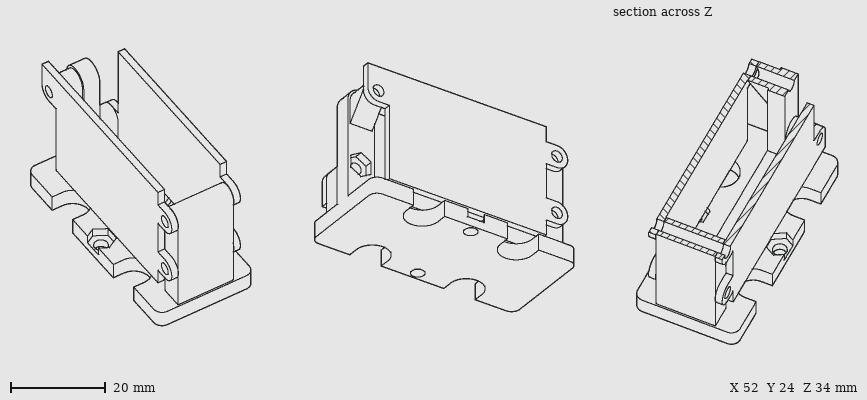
import cadquery as cq

base_length = 52.0
base_width = 24.0
base_height = 4.0
base_corner_radius = 2.1
total_height = 34.0

notch_radius = 4.0
notch_x = 12.0
notch_center_y = 9.4

base_hole_diameter = 3.1
base_hole_y = 10.0
base_nut_diameter = 6.55
base_nut_depth = base_height / 2

screw_diameter = 2.7
post_x = -22.6
column_x = 23.0
post_half_thickness = 2.05
body_half_width = 6.95
column_radius = 2.6
boss_radius = 2.8
post_nut_diameter = 6.0
post_nut_depth = 2.0
wedge_bottom_z = 22.25

plate_thickness = 1.65
plate_bottom = 7.0
plate_right_x = 20.3
ear_radius = 2.75
post_screw_offset = 7.55
column_screw_offset = 7.0

post_radius = base_length / 2 + post_x
rib_top_z = plate_bottom
plate_mid_z = (plate_bottom + total_height) / 2
upper_post_z = plate_mid_z + post_screw_offset
lower_post_z = plate_mid_z - post_screw_offset
column_screw_zs = (plate_mid_z - column_screw_offset, plate_mid_z + column_screw_offset)
plate_left_x = post_x - ear_radius
plate_step_x = post_x + ear_radius


def box(x_min, x_max, y_min, y_max, z_min, z_max):
    """Block between the given limits."""
    return cq.Workplane("XY").box(
        x_max - x_min, y_max - y_min, z_max - z_min, centered=False
    ).translate((x_min, y_min, z_min))


def y_cylinder(x, z, radius, y_min, y_max):
    """Cylinder along Y."""
    return (
        cq.Workplane("XZ", origin=(0, y_min, 0))
        .center(x, z)
        .circle(radius)
        .extrude(y_min - y_max)
    )


def round_topped_upright(x, center_z, radius, y_min, y_max):
    """Upright standing on the base, with a half-round top about the given axis."""
    upright = box(x - radius, x + radius, y_min, y_max, base_height, center_z)
    return upright.union(y_cylinder(x, center_z, radius, y_min, y_max))


def screw_hole(x, z):
    """Screw clearance through the full width of the frame and plates."""
    return y_cylinder(x, z, screw_diameter / 2, -base_width / 2, base_width / 2)


def make_base():
    """Rounded base with four edge notches and two screw holes with nut pockets."""
    base = box(
        -base_length / 2, base_length / 2, -base_width / 2, base_width / 2, 0, base_height
    ).edges("|Z").fillet(base_corner_radius)
    for side in (-1, 1):
        for x in (-notch_x, notch_x):
            round_end = (
                cq.Workplane("XY")
                .center(x, side * notch_center_y)
                .circle(notch_radius)
                .extrude(base_height)
            )
            mouth_ys = sorted((side * notch_center_y, side * base_width / 2))
            mouth = box(x - notch_radius, x + notch_radius, *mouth_ys, 0, base_height)
            base = base.cut(round_end).cut(mouth)

        hole_center = cq.Workplane("XY").center(0, side * base_hole_y)
        hole = hole_center.circle(base_hole_diameter / 2).extrude(base_height)
        nut_pocket = (
            hole_center.workplane(offset=base_height)
            .polygon(6, base_nut_diameter)
            .extrude(-base_nut_depth)
        )
        base = base.cut(hole).cut(nut_pocket)
    return base


def make_upper_boss():
    """Sleeve on the front of the post, carried by a sloping wedge."""
    sleeve = y_cylinder(post_x, upper_post_z, boss_radius, -body_half_width, -post_half_thickness)
    wedge = (
        cq.Workplane("YZ", origin=(post_x - boss_radius, 0, 0))
        .polyline([
            (-post_half_thickness, wedge_bottom_z),
            (-post_half_thickness, upper_post_z),
            (-body_half_width, upper_post_z),
        ])
        .close()
        .extrude(2 * boss_radius)
    )
    upper_half = box(
        post_x - boss_radius, post_x + boss_radius,
        -body_half_width, -post_half_thickness,
        upper_post_z, upper_post_z + boss_radius,
    )
    return wedge.union(sleeve.intersect(upper_half))


def make_post_nut_pocket():
    """Hexagonal recess in the front of the post, round its lower screw."""
    return (
        cq.Workplane("XZ", origin=(0, -post_half_thickness, 0))
        .center(post_x, lower_post_z)
        .transformed(rotate=(0, 0, 90))
        .polygon(6, post_nut_diameter)
        .extrude(-post_nut_depth)
    )


def make_frame():
    """Base with the rib, post, bosses and column standing on it, drilled for the screws."""
    post = round_topped_upright(
        post_x, upper_post_z, post_radius, -post_half_thickness, post_half_thickness
    )
    lower_boss = round_topped_upright(
        post_x, lower_post_z, boss_radius, post_half_thickness, body_half_width
    )
    column = round_topped_upright(
        column_x, column_screw_zs[1], column_radius, -body_half_width, body_half_width
    )
    rib = box(
        post_x, column_x, -post_half_thickness, post_half_thickness, base_height, rib_top_z
    )
    frame = make_base().union(rib).union(post).union(make_upper_boss()).union(lower_boss).union(column)
    for z in (lower_post_z, upper_post_z):
        frame = frame.cut(screw_hole(post_x, z))
    for z in column_screw_zs:
        frame = frame.cut(screw_hole(column_x, z))
    return frame.cut(make_post_nut_pocket())


def make_side_plate():
    """Front plate, with a post ear at the upper left and two column ears at the right."""
    y_min = -body_half_width - plate_thickness
    y_max = -body_half_width
    plate = box(plate_step_x, plate_right_x, y_min, y_max, plate_bottom, total_height)
    plate = plate.union(box(plate_left_x, plate_step_x, y_min, y_max, upper_post_z, total_height))
    plate = plate.union(box(
        post_x, plate_step_x, y_min, y_max, upper_post_z - ear_radius, upper_post_z
    ))
    plate = plate.union(y_cylinder(post_x, upper_post_z, ear_radius, y_min, y_max))
    for z in column_screw_zs:
        arm = box(plate_right_x, column_x, y_min, y_max, z - ear_radius, z + ear_radius)
        ear = y_cylinder(column_x, z, ear_radius, y_min, y_max)
        plate = plate.union(arm).union(ear).cut(screw_hole(column_x, z))
    return plate.cut(screw_hole(post_x, upper_post_z))


frame = make_frame()
side_plates = [
    make_side_plate().rotate((0, 0, plate_mid_z), (1, 0, plate_mid_z), angle)
    for angle in (0, 180)
]

result = cq.Compound.makeCompound([frame.val(), *[plate.val() for plate in side_plates]])